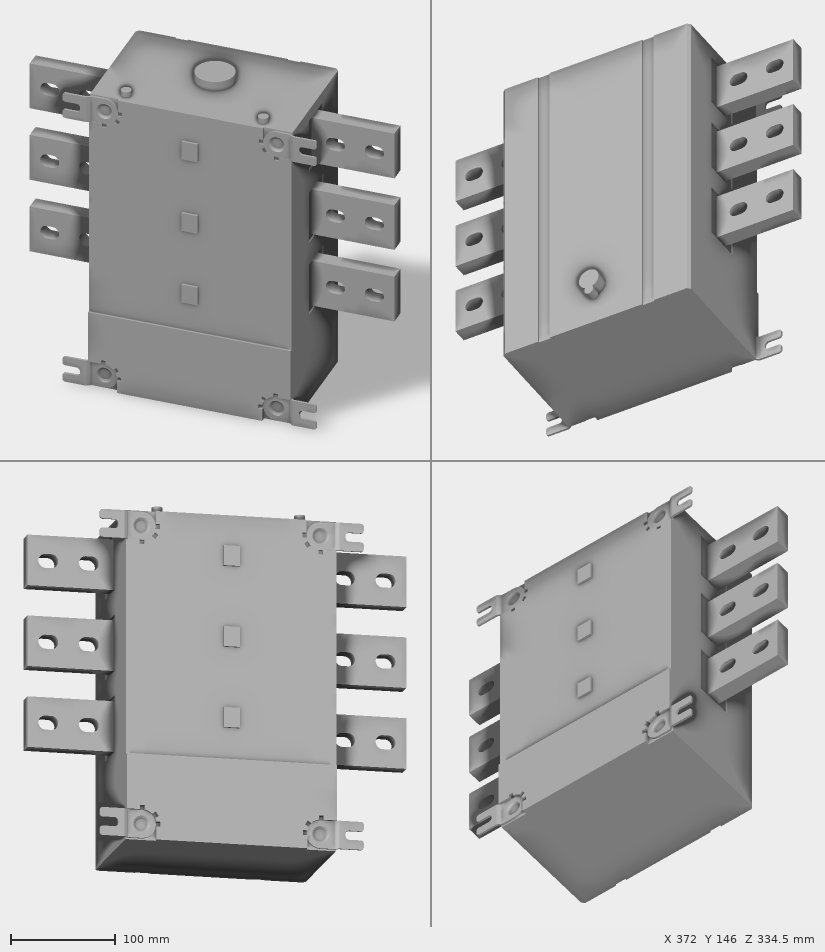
import cadquery as cq

total_length = 372.0
total_depth = 146.0
total_height = 334.5

body_width = 206.5
body_back = 132.0
body_height = 324.0
body_front = 2.5
back_chamfer = 3.0
cover_height = 83.7

groove_x = 57.3
groove_width = 12.5
groove_depth = 1.5

top_pole_z = 284.0
pole_pitch = 79.5
pole_heights = [top_pole_z - number * pole_pitch for number in range(3)]
axis_y = 69.5
bar_height = 50.0
bar_thickness = 16.0
bar_slot_positions = (125.7, 165.5)
bar_slot_length = 19.5
bar_slot_height = 13.8
window_width = 40.0
window_height = 55.8
window_depth = 2.0
pad_width = 16.0
pad_height = 19.7

shaft_diameter = 39.5
pin_diameter = 10.5
pin_length = 6.5
pin_x = 70.0
pin_y = 14.5

lock_diameter = 21.5
lock_z = 42.0
key_width = 6.0
key_bow_diameter = 9.5
key_depth = 9.5
key_bottom = 24.0

bracket_radius = 13.8
bracket_hole_x = 87.8
bracket_hole_z = 15.3
bracket_reach = 129.5
bracket_thickness = 2.2
seat_y = 5.2
bend_outer_x = 105.5
bend_middle_x = 102.3
bend_middle_rise = 2.0
bend_inner_x = 101.0
tab_corner_radius = 2.5
tab_slot_end_x = 111.5
tab_slot_width = 9.0
tab_slot_radius = 3.7
countersink_radius = 8.0
countersink_bottom_radius = 5.5
notch_width = 5.0
notch_reach = 18.0
notch_angles = (0, 35, 90)


def box(x_range, y_range, z_range):
    """Box between the given limits."""
    size = [high - low for low, high in (x_range, y_range, z_range)]
    corner = (x_range[0], y_range[0], z_range[0])
    return cq.Workplane("XY").box(*size, centered=False).translate(corner)


def centered_box(width, y_range, height, z):
    """Box centred on X = 0 and on the height z."""
    return box((-width / 2, width / 2), y_range, (z - height / 2, z + height / 2))


def y_cylinder(radius, y_range, x, z):
    """Round bar along +Y."""
    plane = cq.Workplane("XZ", origin=(x, y_range[0], z))
    return plane.circle(radius).extrude(y_range[0] - y_range[1])


def four_corners(corner):
    """The lower +X corner shape together with its three mirror images."""
    pair = corner.union(corner.mirror("YZ"))
    return pair.union(pair.mirror("XY", (0, 0, body_height / 2)))


def make_housing():
    """Box housing with a raised lower front cover and two grooves down the back."""
    housing = centered_box(body_width, (body_front, body_back), body_height, body_height / 2)
    housing = housing.faces(">Y").edges("|Z").chamfer(back_chamfer)
    housing = housing.union(centered_box(body_width, (0, body_front), cover_height, cover_height / 2))
    groove_range = (body_back - groove_depth, body_back)
    groove = centered_box(groove_width, groove_range, body_height, body_height / 2)
    for side in (-1, 1):
        housing = housing.cut(groove.translate((side * groove_x, 0, 0)))
    return housing


def make_window_pair(z):
    """Shallow recesses around a terminal bar on both sides of the housing."""
    y_range = (axis_y - window_width / 2, axis_y + window_width / 2)
    outside = centered_box(body_width, y_range, window_height, z)
    return outside.cut(centered_box(body_width - 2 * window_depth, y_range, window_height, z))


def make_bar(z):
    """Terminal bar with two slotted holes at each end."""
    bar = centered_box(
        total_length, (axis_y - bar_thickness / 2, axis_y + bar_thickness / 2), bar_height, z
    )
    slot_points = [(side * x, z) for side in (-1, 1) for x in bar_slot_positions]
    slots = (
        cq.Workplane("XZ", origin=(0, axis_y, 0))
        .pushPoints(slot_points)
        .slot2D(bar_slot_length, bar_slot_height)
        .extrude(bar_thickness, both=True)
    )
    return bar.cut(slots)


def make_bracket_seat():
    """Recess for a bracket, open to the side and base, with notches round its inner end."""
    seat_side_x = body_width / 2
    seat_end_x = bracket_hole_x - bracket_radius
    depth_range = (0, seat_y)
    seat = box((seat_end_x, seat_side_x), depth_range, (0, bracket_hole_z))
    seat = seat.union(
        box((bracket_hole_x, seat_side_x), depth_range, (0, bracket_hole_z + bracket_radius))
    )
    seat = seat.union(y_cylinder(bracket_radius, depth_range, bracket_hole_x, bracket_hole_z))
    for angle in notch_angles:
        notch = box((-notch_reach, 0), depth_range, (-notch_width / 2, notch_width / 2))
        notch = notch.rotate((0, 0, 0), (0, 1, 0), angle)
        seat = seat.union(notch.translate((bracket_hole_x, 0, bracket_hole_z)))
    return seat


def make_bracket():
    """Joggled strap: round countersunk end in the seat, forked tab outside the housing."""
    inner_front = seat_y - bracket_thickness
    inner_end_x = bracket_hole_x - bracket_radius
    strap = (
        cq.Workplane("XY", origin=(0, 0, bracket_hole_z))
        .moveTo(inner_end_x, inner_front)
        .lineTo(bend_inner_x, inner_front)
        .lineTo(bend_middle_x, bend_middle_rise)
        .lineTo(bend_outer_x, 0)
        .lineTo(bracket_reach, 0)
        .lineTo(bracket_reach, bracket_thickness)
        .lineTo(bend_outer_x, bracket_thickness)
        .lineTo(bend_middle_x, bend_middle_rise + bracket_thickness)
        .lineTo(bend_inner_x, seat_y)
        .lineTo(inner_end_x, seat_y)
        .close()
        .extrude(bracket_radius, both=True)
    )
    round_end = y_cylinder(bracket_radius, (0, seat_y), bracket_hole_x, bracket_hole_z)
    straight_part = box(
        (bracket_hole_x, bracket_reach),
        (0, seat_y),
        (bracket_hole_z - bracket_radius, bracket_hole_z + bracket_radius),
    )
    strap = strap.intersect(round_end.union(straight_part))

    fork_slot = box(
        (tab_slot_end_x, bracket_reach),
        (0, bracket_thickness),
        (bracket_hole_z - tab_slot_width / 2, bracket_hole_z + tab_slot_width / 2),
    )
    fork_slot = fork_slot.edges("|Y and <X").fillet(tab_slot_radius)
    strap = strap.cut(fork_slot)
    strap = strap.edges("|Y and >X").fillet(tab_corner_radius)

    countersink = (
        cq.Workplane("XZ", origin=(bracket_hole_x, inner_front, bracket_hole_z))
        .circle(countersink_radius)
        .workplane(offset=-bracket_thickness)
        .circle(countersink_bottom_radius)
        .loft()
    )
    return strap.cut(countersink)


def make_top_fittings():
    """Operating shaft and two pins standing on the top face."""
    top = cq.Workplane("XY", origin=(0, 0, body_height))
    shaft = top.center(0, axis_y).circle(shaft_diameter / 2).extrude(total_height - body_height)
    pins = top.pushPoints([(-pin_x, pin_y), (pin_x, pin_y)]).circle(pin_diameter / 2).extrude(pin_length)
    return shaft.union(pins)


def make_lock():
    """Round lock on the back face with a round-ended key hanging from its outer end."""
    lock = y_cylinder(lock_diameter / 2, (body_back, total_depth), 0, lock_z)
    key_range = (total_depth - key_depth, total_depth)
    bow_radius = key_bow_diameter / 2
    bow_z = key_bottom + bow_radius
    stem = box((-key_width / 2, key_width / 2), key_range, (bow_z, lock_z))
    return lock.union(stem).union(y_cylinder(bow_radius, key_range, 0, bow_z))


part = make_housing()
for pole_z in pole_heights:
    part = part.cut(make_window_pair(pole_z))
    part = part.union(make_bar(pole_z))
    part = part.union(centered_box(pad_width, (0, body_front), pad_height, pole_z))
part = part.cut(four_corners(make_bracket_seat()))
part = part.union(four_corners(make_bracket()))
part = part.union(make_top_fittings())
result = part.union(make_lock())